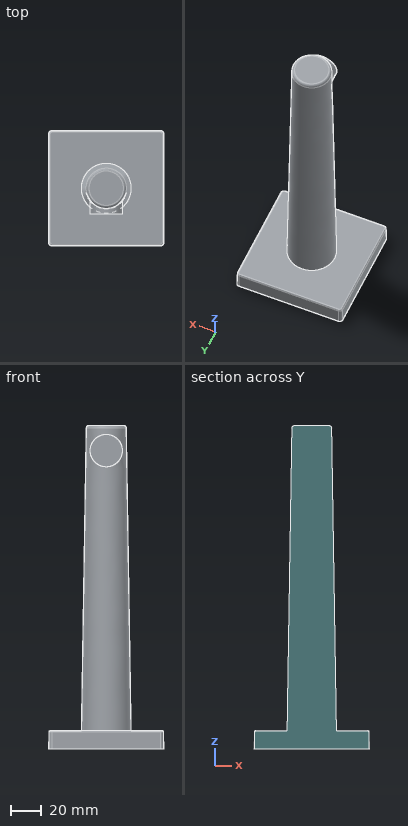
import cadquery as cq

base_side = 75.0
base_height = 12.0
base_draft = 1.0
base_corner_radius = 2.1
base_edge_radius = 0.8

total_height = 210.6
column_bottom_diameter = 32.5
column_top_diameter = 26.1
column_edge_radius = 2.0

peg_diameter = 21.0
peg_reach = 16.8
peg_height = 194.2


def make_base():
    block = cq.Workplane("XY").rect(base_side, base_side).extrude(base_height, taper=base_draft)
    block = block.edges("not (|X or |Y)").fillet(base_corner_radius)
    return block.faces(">Z").edges().fillet(base_edge_radius)


def make_column():
    post = (
        cq.Workplane("XY")
        .workplane(offset=base_height)
        .circle(column_bottom_diameter / 2)
        .workplane(offset=total_height - base_height)
        .circle(column_top_diameter / 2)
        .loft(ruled=True)
    )
    return post.faces(">Z").edges().fillet(column_edge_radius)


def make_peg():
    return cq.Workplane("XZ").center(0, peg_height).circle(peg_diameter / 2).extrude(peg_reach)


result = make_base().union(make_column()).union(make_peg())